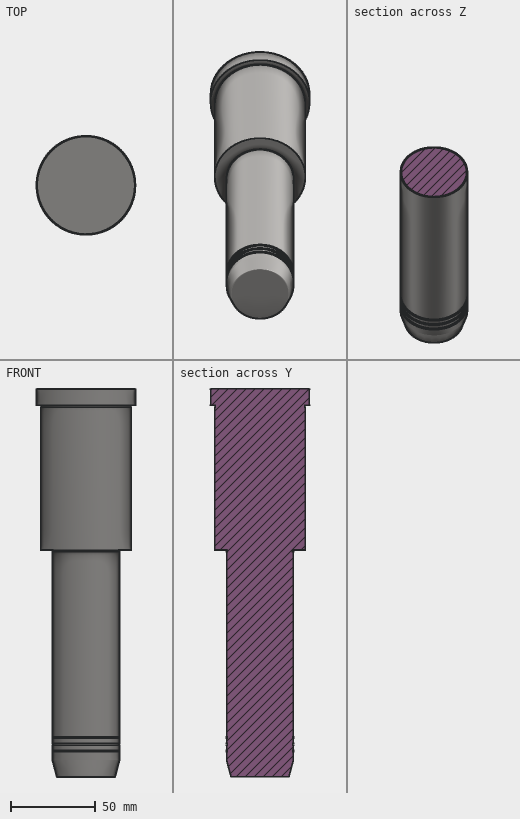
import cadquery as cq
import math

total_length = 231.0

flange_diameter = 59.0
flange_height = 10.0
flange_chamfer = 0.5

body_diameter = 54.0
body_length = 86.0
body_relief_width = 1.0
body_relief_depth = 0.3

shank_diameter = 40.0
shank_relief_width = 1.0
shank_relief_depth = 0.5

taper_length = 10.0
taper_angle = 15.0
tip_fillet = 0.5

groove_count = 3
groove_pitch = 4.0
groove_width = 1.0
groove_depth = 0.3
lowest_groove_height = 15.5

flange_bottom = total_length - flange_height
body_bottom = flange_bottom - body_length
tip_diameter = shank_diameter - 2 * taper_length * math.tan(math.radians(taper_angle))


def cylinder(diameter, bottom, height):
    """Solid cylinder about the Z axis."""
    return cq.Workplane("XY").workplane(offset=bottom).circle(diameter / 2).extrude(height)


def ring_cutter(diameter, depth, bottom, width):
    """Ring that cuts a square groove into a cylinder of the given diameter."""
    return cylinder(diameter + 2 * depth, bottom, width).cut(
        cylinder(diameter - 2 * depth, bottom, width)
    )


def make_flange():
    flange = cylinder(flange_diameter, flange_bottom, flange_height)
    return flange.faces(">Z").edges().chamfer(flange_chamfer)


def make_body():
    body = cylinder(body_diameter, body_bottom, body_length)
    relief_bottom = flange_bottom - body_relief_width
    return body.cut(ring_cutter(body_diameter, body_relief_depth, relief_bottom, body_relief_width))


def make_tip():
    tip = (
        cq.Workplane("XY")
        .circle(tip_diameter / 2)
        .workplane(offset=taper_length)
        .circle(shank_diameter / 2)
        .loft(ruled=True)
    )
    return tip.faces("<Z").edges().fillet(tip_fillet)


def make_shank():
    shank = cylinder(shank_diameter, taper_length, body_bottom - taper_length)
    relief_bottom = body_bottom - shank_relief_width
    shank = shank.cut(
        ring_cutter(shank_diameter, shank_relief_depth, relief_bottom, shank_relief_width)
    )
    for index in range(groove_count):
        groove_center = lowest_groove_height + index * groove_pitch
        groove_bottom = groove_center - groove_width / 2
        shank = shank.cut(ring_cutter(shank_diameter, groove_depth, groove_bottom, groove_width))
    return shank


result = make_flange().union(make_body()).union(make_shank()).union(make_tip())